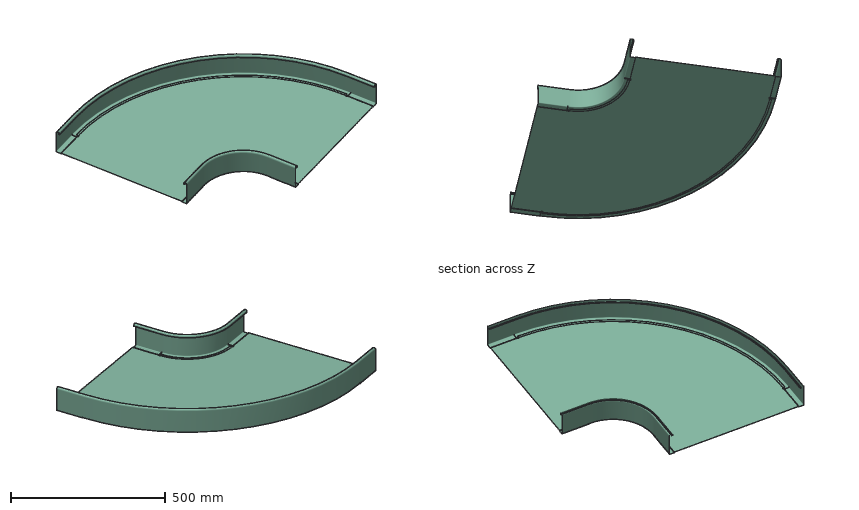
import cadquery as cq
import math

overall_length = 755.0
height = 87.0
arm_length = 105.0
tray_width = 500.0
outer_radius = overall_length - arm_length
inner_radius = outer_radius - tray_width

sheet = 1.1
flange_width = 19.0
bend_radius = 3.0
curl_radius = 7.0
lip_length = 2.0
return_length = 4.5

floor_inset_curve = 12.0
floor_inset_arm = 19.0

relief_length = 6.0
relief_near = 16.5
relief_far = 22.0

curve_base = sheet
floor_base = curve_base + sheet
step_overlap = 1.5

half_root = math.sqrt(0.5)


def rail_profile(plane, face, inward, base):
    """Section of a rail: flange, wall and rolled edge; inward is +1 or -1 from the wall face.

    The first coordinate of the section is the distance from the bend axis.
    """
    curl_centre_z = height - curl_radius
    lip_bottom = curl_centre_z - lip_length
    bend_inside = bend_radius - sheet
    bend_centre_z = base + bend_radius

    def point(depth, z):
        return (face + inward * depth, z)

    def bend_middle(radius):
        return point(bend_radius - radius * half_root, bend_centre_z - radius * half_root)

    return (
        cq.Workplane(plane)
        .moveTo(*point(flange_width, base))
        .lineTo(*point(bend_radius, base))
        .threePointArc(bend_middle(bend_radius), point(0, bend_centre_z))
        .lineTo(*point(0, curl_centre_z))
        .threePointArc(point(curl_radius, height), point(2 * curl_radius, curl_centre_z))
        .lineTo(*point(2 * curl_radius, lip_bottom))
        .lineTo(*point(2 * curl_radius - return_length, lip_bottom))
        .lineTo(*point(2 * curl_radius - return_length, lip_bottom + sheet))
        .lineTo(*point(2 * curl_radius - sheet, lip_bottom + sheet))
        .lineTo(*point(2 * curl_radius - sheet, curl_centre_z))
        .threePointArc(point(curl_radius, height - sheet), point(sheet, curl_centre_z))
        .lineTo(*point(sheet, bend_centre_z))
        .threePointArc(bend_middle(bend_inside), point(bend_radius, base + sheet))
        .lineTo(*point(flange_width, base + sheet))
        .close()
    )


def relief_notches(face, inward):
    """Square notches through flange and floor edge at the start of both arms."""
    middle = face + inward * (relief_near + relief_far) / 2
    width = relief_far - relief_near
    depth = floor_base + sheet
    left = cq.Workplane().box(width, relief_length, depth, centered=(True, True, False))
    back = cq.Workplane().box(relief_length, width, depth, centered=(True, True, False))
    return (
        left.translate((-middle, -relief_length / 2, 0))
        .union(back.translate((relief_length / 2, middle, 0)))
    )


def make_arms(face, inward, base, start, end):
    """Straight rail lengths on both arms, between two distances from the end of the curve."""
    left_plane = cq.Plane(origin=(0, -start, 0), xDir=(-1, 0, 0), normal=(0, 1, 0))
    back_plane = cq.Plane(origin=(start, 0, 0), xDir=(0, 1, 0), normal=(1, 0, 0))
    left = rail_profile(left_plane, face, inward, base).extrude(start - end)
    back = rail_profile(back_plane, face, inward, base).extrude(end - start)
    return left.union(back)


def make_rail(face, inward):
    """One side rail: a quarter-turn curve with a straight arm at each end."""
    curve_plane = cq.Plane(origin=(0, 0, 0), xDir=(-1, 0, 0), normal=(0, 1, 0))
    curve = rail_profile(curve_plane, face, inward, curve_base).revolve(90, (0, 0), (0, -1))
    level_arms = make_arms(face, inward, curve_base, 0, relief_length + step_overlap)
    lowered_arms = make_arms(face, inward, 0, relief_length, arm_length)
    rail = curve.union(level_arms).union(lowered_arms)
    return rail.cut(relief_notches(face, inward))


def make_floor():
    """Flat sheet resting on the curved flanges, running out to both open ends."""
    curve_outside = outer_radius - floor_inset_curve
    curve_inside = inner_radius + floor_inset_curve
    arm_outside = outer_radius - floor_inset_arm
    arm_inside = inner_radius + floor_inset_arm
    floor = (
        cq.Workplane("XY", origin=(0, 0, floor_base))
        .moveTo(-arm_outside, -arm_length)
        .lineTo(-arm_outside, 0)
        .lineTo(-curve_outside, 0)
        .threePointArc((-curve_outside * half_root, curve_outside * half_root), (0, curve_outside))
        .lineTo(0, arm_outside)
        .lineTo(arm_length, arm_outside)
        .lineTo(arm_length, arm_inside)
        .lineTo(0, arm_inside)
        .lineTo(0, curve_inside)
        .threePointArc((-curve_inside * half_root, curve_inside * half_root), (-curve_inside, 0))
        .lineTo(-arm_inside, 0)
        .lineTo(-arm_inside, -arm_length)
        .close()
        .extrude(sheet)
    )
    return floor.cut(relief_notches(outer_radius, -1)).cut(relief_notches(inner_radius, 1))


outer_rail = make_rail(outer_radius, -1)
inner_rail = make_rail(inner_radius, 1)
floor_plate = make_floor()

result = cq.Compound.makeCompound([
    outer_rail.solids().val(),
    inner_rail.solids().val(),
    floor_plate.solids().val(),
])